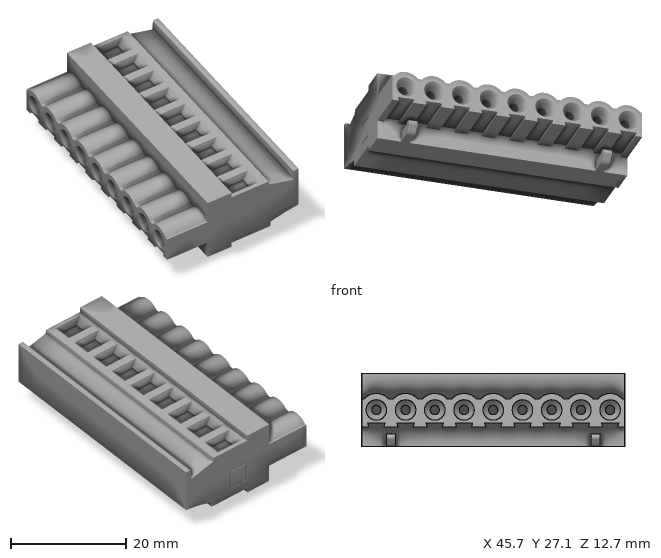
import cadquery as cq
import math


LENGTH = 45.7
DEPTH = 27.1
HEIGHT = 12.7
POLES = 9
PITCH = LENGTH / POLES

COLLAR_FRONT_Y = 8.35
COLLAR_BACK_Y = 13.3
BODY_TOP_Z = 11.65
BODY_BOTTOM_Z = 0.95
SLOPE_ANGLE = math.radians(15)
WALL_LEAN = 0.15

SHELF_BACK_Y = 20.9
SHELF_STEP = 0.8
LIP_THICKNESS = 1.05
LIP_FILLET = 0.25

UNDERSIDE_STEP_Y = 21.35
UNDERSIDE_STEP_Z = 2.0
UNDERSIDE_KNEE_Y = 24.7
UNDERSIDE_KNEE_Z = 2.85
BACK_BOTTOM_Z = 3.2

BARREL_AXIS_Z = 6.35
BARREL_RADIUS = 2.9
BARREL_BOTTOM_Z = 3.45
VALLEY_Z = 8.25
BORE_DIAMETER = 1.6
FUNNEL_DIAMETER = 3.55
FUNNEL_DEPTH = 1.7
BORE_DEPTH = COLLAR_FRONT_Y

GROOVE_TOP_WIDTH = 3.0
GROOVE_MOUTH_WIDTH = 2.65
GROOVE_HEIGHT = 0.7

POCKET_WIDTH = 3.55
POCKET_FRONT_Y = 13.8
POCKET_BACK_Y = 19.4
POCKET_FLOOR_WIDTH = 2.85
POCKET_FLOOR_LENGTH = 3.1
POCKET_TAPER_DEPTH = 1.2
POCKET_WELL_DEPTH = 0.45

LATCH_WIDTH = 1.55
LATCH_THICKNESS = 1.75
LATCH_NOSE_RADIUS = 0.55
LATCH_FRONT_Y = 3.7
LATCH_TOP_Z = 2.15
LATCH_CREST_BACK_Y = 4.85
LATCH_ROOT_FILLET = 0.35
LATCH_HEEL_FILLET = 1.35
LATCH_POSITIONS = (PITCH, LENGTH - PITCH)

FRAME_FRONT_Y = COLLAR_BACK_Y
FRAME_BOTTOM_Z = 2.9
FRAME_SIZE = 4.0
FRAME_LINE_WIDTH = 0.35
FRAME_DEPTH = 0.1


def pole_x(index):
    """Centre of one pole along X."""
    return (index + 0.5) * PITCH


def section(x_start=0.0):
    """Sketch plane across the row, with local axes Y and Z."""
    return cq.Workplane("YZ", origin=(x_start, 0, 0))


def make_body():
    shelf_foot_y = SHELF_BACK_Y + WALL_LEAN
    shelf_foot_z = BODY_TOP_Z - SHELF_STEP
    lip_top_y = DEPTH - LIP_THICKNESS
    lip_foot_y = lip_top_y - WALL_LEAN
    lip_foot_z = shelf_foot_z - (lip_foot_y - shelf_foot_y) * math.tan(SLOPE_ANGLE)
    outline = [
        (COLLAR_FRONT_Y, 0),
        (COLLAR_FRONT_Y, HEIGHT),
        (COLLAR_BACK_Y, HEIGHT),
        (COLLAR_BACK_Y, BODY_TOP_Z),
        (SHELF_BACK_Y, BODY_TOP_Z),
        (shelf_foot_y, shelf_foot_z),
        (lip_foot_y, lip_foot_z),
        (lip_top_y, BODY_TOP_Z),
        (DEPTH, BODY_TOP_Z),
        (DEPTH, BACK_BOTTOM_Z),
        (UNDERSIDE_KNEE_Y, UNDERSIDE_KNEE_Z),
        (UNDERSIDE_STEP_Y, UNDERSIDE_STEP_Z),
        (UNDERSIDE_STEP_Y, BODY_BOTTOM_Z),
        (COLLAR_BACK_Y, BODY_BOTTOM_Z),
        (COLLAR_BACK_Y, 0),
    ]
    body = section().polyline(outline).close().extrude(LENGTH)
    for edge_y, edge_z in ((lip_foot_y, lip_foot_z), (lip_top_y, BODY_TOP_Z)):
        edge = cq.selectors.NearestToPointSelector((LENGTH / 2, edge_y, edge_z))
        body = body.edges("|X").edges(edge).fillet(LIP_FILLET)
    return body


def make_barrels():
    """Bar joining the barrels, with a round crown over each pole."""
    bar_height = VALLEY_Z - BARREL_BOTTOM_Z
    barrels = cq.Workplane("XY", origin=(0, 0, BARREL_BOTTOM_Z)).box(
        LENGTH, COLLAR_FRONT_Y, bar_height, centered=False
    )
    half_chord = math.sqrt(BARREL_RADIUS**2 - (VALLEY_Z - BARREL_AXIS_Z) ** 2)
    face = cq.Workplane("XZ")
    for index in range(POLES):
        x = pole_x(index)
        crown = (
            face.moveTo(x - half_chord, BARREL_AXIS_Z)
            .lineTo(x - half_chord, VALLEY_Z)
            .threePointArc((x, BARREL_AXIS_Z + BARREL_RADIUS), (x + half_chord, VALLEY_Z))
            .lineTo(x + half_chord, BARREL_AXIS_Z)
            .close()
            .extrude(-COLLAR_FRONT_Y)
        )
        barrels = barrels.union(crown)
    return barrels


def make_wire_hole(x):
    """Blind bore with a conical lead-in, revolved about the barrel axis."""
    bore_radius = BORE_DIAMETER / 2
    return (
        cq.Workplane("XY", origin=(x, 0, BARREL_AXIS_Z))
        .polyline([
            (0, 0),
            (FUNNEL_DIAMETER / 2, 0),
            (bore_radius, FUNNEL_DEPTH),
            (bore_radius, BORE_DEPTH),
            (0, BORE_DEPTH),
        ])
        .close()
        .revolve(360, (0, 0, 0), (0, 1, 0))
    )


def make_groove(x):
    """Dovetail groove along the underside of one barrel."""
    top_z = BARREL_BOTTOM_Z + GROOVE_HEIGHT
    return (
        cq.Workplane("XZ")
        .polyline([
            (x - GROOVE_MOUTH_WIDTH / 2, BARREL_BOTTOM_Z),
            (x - GROOVE_TOP_WIDTH / 2, top_z),
            (x + GROOVE_TOP_WIDTH / 2, top_z),
            (x + GROOVE_MOUTH_WIDTH / 2, BARREL_BOTTOM_Z),
        ])
        .close()
        .extrude(-COLLAR_FRONT_Y)
    )


def make_pocket(x):
    """Tapered mouth leading into a shallow straight-sided well."""
    centre_y = (POCKET_FRONT_Y + POCKET_BACK_Y) / 2
    taper = (
        cq.Workplane("XY", origin=(x, centre_y, BODY_TOP_Z))
        .rect(POCKET_WIDTH, POCKET_BACK_Y - POCKET_FRONT_Y)
        .workplane(offset=-POCKET_TAPER_DEPTH)
        .rect(POCKET_FLOOR_WIDTH, POCKET_FLOOR_LENGTH)
        .loft(ruled=True)
    )
    well = (
        cq.Workplane("XY", origin=(x, centre_y, BODY_TOP_Z - POCKET_TAPER_DEPTH))
        .rect(POCKET_FLOOR_WIDTH, POCKET_FLOOR_LENGTH)
        .extrude(-POCKET_WELL_DEPTH)
    )
    return taper.union(well)


def make_latch(x):
    """Flexible hook: flat arm, raised crest, round nose and 45 degree underside ramp."""
    nose_y = LATCH_FRONT_Y + LATCH_NOSE_RADIUS
    nose_z = LATCH_TOP_Z - LATCH_NOSE_RADIUS
    ramp_offset = LATCH_NOSE_RADIUS * math.sqrt(0.5)
    ramp_start = (nose_y - ramp_offset, nose_z - ramp_offset)
    heel_y = sum(ramp_start)
    crest_foot_y = LATCH_CREST_BACK_Y + LATCH_TOP_Z - LATCH_THICKNESS
    root_y = COLLAR_FRONT_Y
    root_start_y = root_y - LATCH_ROOT_FILLET
    root_top_z = LATCH_THICKNESS + LATCH_ROOT_FILLET
    latch = (
        section(x - LATCH_WIDTH / 2)
        .moveTo(root_y, 0)
        .lineTo(root_y, root_top_z)
        .radiusArc((root_start_y, LATCH_THICKNESS), LATCH_ROOT_FILLET)
        .lineTo(crest_foot_y, LATCH_THICKNESS)
        .lineTo(LATCH_CREST_BACK_Y, LATCH_TOP_Z)
        .lineTo(nose_y, LATCH_TOP_Z)
        .threePointArc((LATCH_FRONT_Y, nose_z), ramp_start)
        .lineTo(heel_y, 0)
        .close()
        .extrude(LATCH_WIDTH)
    )
    heel = cq.selectors.NearestToPointSelector((x, heel_y, 0))
    return latch.edges("|X").edges(heel).fillet(LATCH_HEEL_FILLET)


def make_frame():
    """Narrow square groove cut into the end face at X = 0."""
    centre = FRAME_SIZE / 2
    inner_size = FRAME_SIZE - 2 * FRAME_LINE_WIDTH
    return (
        section()
        .center(FRAME_FRONT_Y + centre, FRAME_BOTTOM_Z + centre)
        .rect(FRAME_SIZE, FRAME_SIZE)
        .rect(inner_size, inner_size)
        .extrude(FRAME_DEPTH)
    )


result = make_body().union(make_barrels())

for latch_x in LATCH_POSITIONS:
    result = result.union(make_latch(latch_x))

for pole in range(POLES):
    centre_x = pole_x(pole)
    result = result.cut(make_wire_hole(centre_x))
    result = result.cut(make_groove(centre_x))
    result = result.cut(make_pocket(centre_x))

result = result.cut(make_frame())